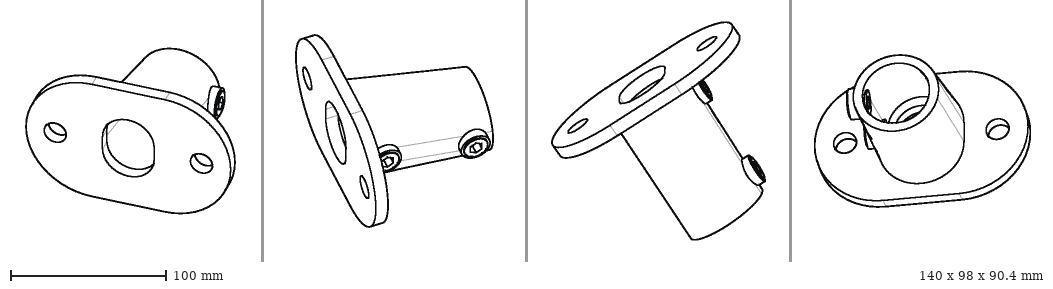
import cadquery as cq
import math

plate_length = 140.0
plate_height = 90.0
plate_thickness = 8.5
bolt_spacing = 100.0
bolt_hole_diameter = 15.0

opening_width = 35.3
opening_height = 45.0

total_depth = 98.0
socket_width = 56.0
root_height = 70.0
mouth_drop = 17.4
mouth_seam_offset = 6.7
wall = 6.0

boss_diameter = 20.0
boss_end_x = 32.6
boss_margin = 14.0
screw_diameter = 16.4
screw_inner_x = 20.5
screw_end_x = 33.5
screw_hex_flats = 8.1

socket_length = total_depth - plate_thickness
boss_distances = [boss_margin, socket_length - boss_margin]


def four_sided_outline(y, center_z, radius, cap_center, side_half_height, side_bulge):
    """Closed outline in the plane at y: two round caps joined by two sides."""
    side_x = math.sqrt(radius**2 - (side_half_height - cap_center) ** 2)
    top = center_z + cap_center + radius
    bottom = center_z - cap_center - radius
    upper = center_z + side_half_height
    lower = center_z - side_half_height

    def side(x, start_z, end_z):
        start = cq.Vector(x, y, start_z)
        end = cq.Vector(x, y, end_z)
        if side_bulge == 0:
            return cq.Edge.makeLine(start, end)
        middle = cq.Vector(math.copysign(side_bulge, x), y, center_z)
        return cq.Edge.makeThreePointArc(start, middle, end)

    def cap(start_x, z, crown_z):
        start = cq.Vector(start_x, y, z)
        return cq.Edge.makeThreePointArc(start, cq.Vector(0, y, crown_z), cq.Vector(-start_x, y, z))

    return cq.Wire.assembleEdges([
        side(side_x, lower, upper),
        cap(side_x, upper, top),
        side(-side_x, upper, lower),
        cap(-side_x, lower, bottom),
    ])


def tapered_body(inset):
    """Loft from obround root to round mouth, with its outline moved inward by inset."""
    radius = socket_width / 2 - inset
    root_cap = (root_height - socket_width) / 2
    seam = mouth_seam_offset * radius / (socket_width / 2)
    root = four_sided_outline(plate_thickness, 0, radius, root_cap, root_cap, 0)
    mouth = four_sided_outline(total_depth, -mouth_drop, radius, 0, seam, radius)
    return cq.Workplane(cq.Solid.makeLoft([root, mouth], True))


def make_plate():
    blank = cq.Workplane("XZ").slot2D(plate_length, plate_height).extrude(-plate_thickness)
    opening = cq.Workplane("XZ").slot2D(opening_height, opening_width, 90).extrude(-plate_thickness)
    bolt_holes = (
        cq.Workplane("XZ")
        .pushPoints([(-bolt_spacing / 2, 0), (bolt_spacing / 2, 0)])
        .circle(bolt_hole_diameter / 2)
        .extrude(-plate_thickness)
    )
    return blank.cut(opening).cut(bolt_holes)


def screw_plane(distance):
    """Inner end of a set screw, on the sloping centre line of the socket."""
    center_z = -mouth_drop * distance / socket_length
    return cq.Workplane("YZ", origin=(screw_inner_x, plate_thickness + distance, center_z))


def make_boss(distance):
    """Boss blank that starts inside the socket; the socket bore trims its inner end."""
    return screw_plane(distance).circle(boss_diameter / 2).extrude(boss_end_x - screw_inner_x)


def screw_blank(distance):
    return screw_plane(distance).circle(screw_diameter / 2).extrude(screw_end_x - screw_inner_x)


def make_screw(distance):
    hex_corners = screw_hex_flats / math.cos(math.pi / 6)
    hex_hole = (
        screw_plane(distance)
        .transformed(rotate=(0, 0, 90))
        .polygon(6, hex_corners)
        .extrude(screw_end_x - screw_inner_x)
    )
    return screw_blank(distance).cut(hex_hole)


def make_housing():
    socket = tapered_body(0)
    for distance in boss_distances:
        socket = socket.union(make_boss(distance))
    housing = make_plate().union(socket.cut(tapered_body(wall)))
    for distance in boss_distances:
        housing = housing.cut(screw_blank(distance))
    return housing


housing = make_housing()
set_screws = [make_screw(distance) for distance in boss_distances]

result = cq.Compound.makeCompound([housing.solids().val(), *[screw.solids().val() for screw in set_screws]])